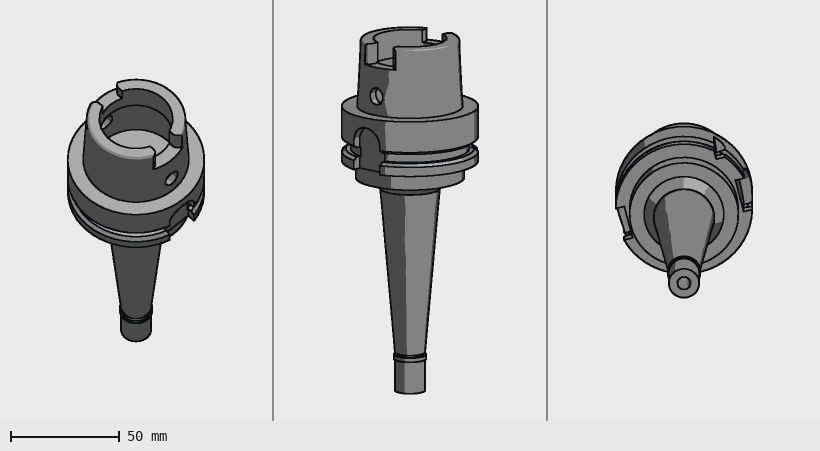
import cadquery as cq

TOTAL_HEIGHT = 167.0
FLANGE_TOP = 135.0
FLANGE_BOTTOM = 109.0
COLLAR_BOTTOM = 101.0
STEM_TOP = 96.0
STEM_BOTTOM = 18.0

SHANK_BASE_RADIUS = 24.4
SHANK_SLOPE = 1 / 20
SHANK_RIM_ROUNDING = 1.3

FLANGE_RADIUS = 63.0 / 2
GROOVE_RADIUS = 27.4
GROOVE_CHAMFER_RADIUS = 29.5
GROOVE_UPPER_LIP = 120.4
GROOVE_LOWER_LIP = 113.4
GROOVE_CHAMFER_HEIGHT = 1.3

COLLAR_RADIUS = 25.0
CONE_TOP_RADIUS = 18.4
CONE_BOTTOM_RADIUS = 14.0
STEM_TOP_RADIUS = 13.9
STEM_BOTTOM_RADIUS = 7.0

MOUTH_RADIUS = 16.9
MOUTH_DEPTH = 13.0
UNDERCUT_RADIUS = 20.0
CAVITY_FLOOR = 130.3
TUBE_BORE_RADIUS = 9.0
TUBE_BORE_FLOOR = 110.2
STEM_BORE_RADIUS = 4.0

DRIVE_SLOT_HALF_WIDTH = 6.2
DRIVE_SLOT_ROUNDING = 3.0
DRIVE_SLOT_STRAIGHT_END = 17.9
LEFT_DRIVE_SLOT_DEPTH = 5.8
RIGHT_DRIVE_SLOT_DEPTH = 9.7

ACCESS_HOLE_RADIUS = 3.8
ACCESS_HOLE_DEPTH = 23.2

KEYWAY_WIDTH = 15.7
KEYWAY_FLOOR = 26.4
KEYWAY_TOP = 130.3
NOTCH_FLOOR = 20.2
NOTCH_EDGE = 19.9

NUT_RADIUS = 7.0
NUT_RIM_RADIUS = 7.5
NUT_RIM_TOP = 17.0
NUT_RIM_BOTTOM = 15.0
NUT_NECK_RADIUS = 6.3
NUT_BORE_RADIUS = 3.0


def revolve_profile(points):
    """Turn a closed (radius, height) outline about the Z axis."""
    return cq.Workplane("XZ").polyline(points).close().revolve(360, (0, 0, 0), (0, 1, 0))


def holder_blank():
    """Outside of the holder, turned solid, with the shank rim rounded."""
    mouth_outer = SHANK_BASE_RADIUS - SHANK_SLOPE * (TOTAL_HEIGHT - FLANGE_TOP)
    blank = revolve_profile([
        (0, STEM_BOTTOM),
        (STEM_BOTTOM_RADIUS, STEM_BOTTOM),
        (STEM_TOP_RADIUS, STEM_TOP),
        (CONE_BOTTOM_RADIUS, STEM_TOP),
        (CONE_TOP_RADIUS, COLLAR_BOTTOM),
        (COLLAR_RADIUS, COLLAR_BOTTOM),
        (COLLAR_RADIUS, FLANGE_BOTTOM),
        (FLANGE_RADIUS, FLANGE_BOTTOM),
        (FLANGE_RADIUS, GROOVE_LOWER_LIP),
        (GROOVE_CHAMFER_RADIUS, GROOVE_LOWER_LIP + GROOVE_CHAMFER_HEIGHT),
        (GROOVE_RADIUS, GROOVE_LOWER_LIP + GROOVE_CHAMFER_HEIGHT),
        (GROOVE_RADIUS, GROOVE_UPPER_LIP - GROOVE_CHAMFER_HEIGHT),
        (GROOVE_CHAMFER_RADIUS, GROOVE_UPPER_LIP - GROOVE_CHAMFER_HEIGHT),
        (FLANGE_RADIUS, GROOVE_UPPER_LIP),
        (FLANGE_RADIUS, FLANGE_TOP),
        (SHANK_BASE_RADIUS, FLANGE_TOP),
        (mouth_outer, TOTAL_HEIGHT),
        (0, TOTAL_HEIGHT),
    ])
    return blank.faces(">Z").edges().fillet(SHANK_RIM_ROUNDING)


def holder_bore():
    """Stepped bore with an undercut behind the mouth."""
    mouth_bottom = TOTAL_HEIGHT - MOUTH_DEPTH
    return revolve_profile([
        (0, STEM_BOTTOM),
        (STEM_BORE_RADIUS, STEM_BOTTOM),
        (STEM_BORE_RADIUS, TUBE_BORE_FLOOR),
        (TUBE_BORE_RADIUS, TUBE_BORE_FLOOR),
        (TUBE_BORE_RADIUS, CAVITY_FLOOR),
        (UNDERCUT_RADIUS, CAVITY_FLOOR),
        (UNDERCUT_RADIUS, mouth_bottom),
        (MOUTH_RADIUS, mouth_bottom),
        (MOUTH_RADIUS, TOTAL_HEIGHT),
        (0, TOTAL_HEIGHT),
    ])


def drive_slot(side, depth):
    """Slot through one shank wall whose sides round outwards; side is -1 or +1 along X."""
    half = DRIVE_SLOT_HALF_WIDTH
    flared_half = half + DRIVE_SLOT_ROUNDING
    start = side * DRIVE_SLOT_STRAIGHT_END
    corner = side * (DRIVE_SLOT_STRAIGHT_END + DRIVE_SLOT_ROUNDING)
    outside = side * FLANGE_RADIUS
    return (
        cq.Workplane("XY", origin=(0, 0, TOTAL_HEIGHT - depth))
        .moveTo(0, -half)
        .lineTo(start, -half)
        .radiusArc((corner, -flared_half), side * DRIVE_SLOT_ROUNDING)
        .lineTo(outside, -flared_half)
        .lineTo(outside, flared_half)
        .lineTo(corner, flared_half)
        .radiusArc((start, half), side * DRIVE_SLOT_ROUNDING)
        .lineTo(0, half)
        .close()
        .extrude(depth)
    )


def access_hole():
    """Cross hole along X through both shank walls."""
    height = TOTAL_HEIGHT - ACCESS_HOLE_DEPTH
    return (
        cq.Workplane("YZ", origin=(0, 0, height))
        .circle(ACCESS_HOLE_RADIUS)
        .extrude(FLANGE_RADIUS, both=True)
    )


def keyway(side, floor, center_y):
    """Round-topped cutter standing on the flange bottom, from its floor outwards along X."""
    radius = KEYWAY_WIDTH / 2
    arc_start = KEYWAY_TOP - radius
    return (
        cq.Workplane("YZ", origin=(side * floor, 0, 0))
        .moveTo(center_y - radius, FLANGE_BOTTOM)
        .lineTo(center_y + radius, FLANGE_BOTTOM)
        .lineTo(center_y + radius, arc_start)
        .threePointArc((center_y, KEYWAY_TOP), (center_y - radius, arc_start))
        .close()
        .extrude(side * FLANGE_RADIUS)
    )


def make_holder():
    """Tool holder: hollow shank, flange and stem."""
    holder = holder_blank().cut(holder_bore())
    holder = holder.cut(drive_slot(-1, LEFT_DRIVE_SLOT_DEPTH))
    holder = holder.cut(drive_slot(1, RIGHT_DRIVE_SLOT_DEPTH))
    holder = holder.cut(access_hole())
    for side in (-1, 1):
        holder = holder.cut(keyway(side, KEYWAY_FLOOR, 0))
    orientation_notch = keyway(-1, NOTCH_FLOOR, NOTCH_EDGE + KEYWAY_WIDTH / 2)
    return holder.cut(orientation_notch)


def make_nut():
    """Clamping nut: plain sleeve with a rim and a narrow neck against the stem."""
    return revolve_profile([
        (NUT_BORE_RADIUS, 0),
        (NUT_RADIUS, 0),
        (NUT_RADIUS, NUT_RIM_BOTTOM),
        (NUT_RIM_RADIUS, NUT_RIM_BOTTOM),
        (NUT_RIM_RADIUS, NUT_RIM_TOP),
        (NUT_NECK_RADIUS, NUT_RIM_TOP),
        (NUT_NECK_RADIUS, STEM_BOTTOM),
        (NUT_BORE_RADIUS, STEM_BOTTOM),
    ])


holder = make_holder()
nut = make_nut()

result = cq.Compound.makeCompound([holder.val(), nut.val()])